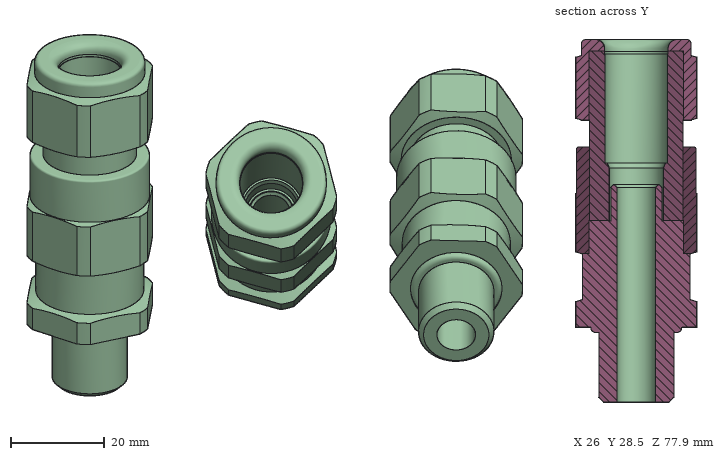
import cadquery as cq
import math

TOTAL_HEIGHT = 77.9
CAP_HEX_TOP = 74.5
CAP_BOTTOM = 60.5
COUPLING_TOP = 54.85
COUPLING_HEX_TOP = 45.25
COUPLING_BOTTOM = 31.9
ENTRY_HEX_TOP = 22.05
ENTRY_HEX_BOTTOM = 16.1
STEP_HEIGHT = 1.2

HEX_ACROSS_FLATS = 26.0
HEX_ACROSS_CORNERS = HEX_ACROSS_FLATS / math.cos(math.pi / 6)
HEX_CORNER_RADIUS = 14.25
HEX_CHAMFER_WIDTH = 2.5
HEX_CHAMFER_HEIGHT = 0.8

COLLAR_RADIUS = 11.85
COLLAR_FILLET = 1.0
CAP_BORE_RADIUS = 6.8
FLARE_RADIUS = 2.0
CAP_LAND = 0.55

GLAND_RADIUS = 10.05
GLAND_BORE_RADIUS = 6.7
GLAND_TOP = TOTAL_HEIGHT - FLARE_RADIUS - CAP_LAND
GLAND_BOTTOM = 38.95
MOUTH_DEPTH = 0.55
SHOULDER_HEIGHT = 51.4
SEAT_TOP_RADIUS = 6.2
NOZZLE_HOLE_RADIUS = 5.8
SEAT_DEPTH = 1.2

SLEEVE_RADIUS = 12.85
SLEEVE_FILLET = 0.5

BARREL_RADIUS = 11.6
STEP_RADIUS = 9.8
STEP_FILLET = 1.1
SPIGOT_RADIUS = 8.1
SPIGOT_CHAMFER = 1.1
NOZZLE_RADIUS = 5.5
NOZZLE_TOP = 46.75
NOZZLE_CHAMFER = 0.6
ENTRY_BORE_RADIUS = 4.1


def cylinder(radius, bottom, top):
    """Solid cylinder on the Z axis between two heights."""
    return cq.Workplane("XY", origin=(0, 0, bottom)).circle(radius).extrude(top - bottom)


def cone(bottom_radius, top_radius, bottom, top):
    """Solid truncated cone on the Z axis between two heights."""
    base = cq.Vector(0, 0, bottom)
    return cq.Workplane(cq.Solid.makeCone(bottom_radius, top_radius, top - bottom, base))


def hexagon(bottom, top, cone_bottom):
    """Hexagonal prism with turned corners, coned at the top and, if asked, at the bottom."""
    prism = (
        cq.Workplane("XY", origin=(0, 0, bottom))
        .polygon(6, HEX_ACROSS_CORNERS)
        .extrude(top - bottom)
        .rotate((0, 0, 0), (0, 0, 1), 30)
    )
    end_radius = HEX_CORNER_RADIUS - HEX_CHAMFER_WIDTH
    cone_base = top - HEX_CHAMFER_HEIGHT
    straight_bottom = bottom
    envelope = cone(HEX_CORNER_RADIUS, end_radius, cone_base, top)
    if cone_bottom:
        straight_bottom = bottom + HEX_CHAMFER_HEIGHT
        envelope = envelope.union(cone(end_radius, HEX_CORNER_RADIUS, bottom, straight_bottom))
    envelope = envelope.union(cylinder(HEX_CORNER_RADIUS, straight_bottom, cone_base))
    return prism.intersect(envelope)


def flare_cutter():
    """Trumpet-shaped cutter for the mouth of the cap nut, tangent to bore and top face."""
    flare_bottom = TOTAL_HEIGHT - FLARE_RADIUS
    arc_offset = FLARE_RADIUS * (1 - math.sqrt(0.5))
    profile = (
        cq.Workplane("XZ")
        .moveTo(0, flare_bottom)
        .lineTo(CAP_BORE_RADIUS, flare_bottom)
        .threePointArc(
            (CAP_BORE_RADIUS + arc_offset, TOTAL_HEIGHT - arc_offset),
            (CAP_BORE_RADIUS + FLARE_RADIUS, TOTAL_HEIGHT),
        )
        .lineTo(0, TOTAL_HEIGHT)
        .close()
    )
    return profile.revolve(360, (0, 0, 0), (0, 1, 0))


def make_cap_nut():
    """Round collar on a hexagon, with a flared mouth and a socket that takes the gland."""
    collar = cylinder(COLLAR_RADIUS, CAP_BOTTOM, TOTAL_HEIGHT).faces(">Z").edges().fillet(COLLAR_FILLET)
    nut = collar.union(hexagon(CAP_BOTTOM, CAP_HEX_TOP, cone_bottom=True))
    socket = cylinder(GLAND_RADIUS, CAP_BOTTOM, GLAND_TOP)
    bore = cylinder(CAP_BORE_RADIUS, GLAND_TOP, TOTAL_HEIGHT)
    return nut.cut(socket).cut(bore).cut(flare_cutter())


def make_gland():
    """Tube with a wider mouth, a deep bore, a shoulder and a conical seat above the nozzle hole."""
    tube = cylinder(GLAND_RADIUS, GLAND_BOTTOM, GLAND_TOP)
    mouth = cylinder(CAP_BORE_RADIUS, GLAND_TOP - MOUTH_DEPTH, GLAND_TOP)
    bore = cylinder(GLAND_BORE_RADIUS, SHOULDER_HEIGHT, GLAND_TOP)
    seat = cone(NOZZLE_HOLE_RADIUS, SEAT_TOP_RADIUS, SHOULDER_HEIGHT - SEAT_DEPTH, SHOULDER_HEIGHT)
    nozzle_hole = cylinder(NOZZLE_HOLE_RADIUS, GLAND_BOTTOM, SHOULDER_HEIGHT)
    return tube.cut(mouth).cut(bore).cut(seat).cut(nozzle_hole)


def make_coupling_nut():
    """Hexagon with a round sleeve above, bored through for the gland and the entry body."""
    sleeve_bottom = COUPLING_HEX_TOP - HEX_CHAMFER_HEIGHT
    sleeve = cylinder(SLEEVE_RADIUS, sleeve_bottom, COUPLING_TOP).faces(">Z").edges().fillet(SLEEVE_FILLET)
    nut = sleeve.union(hexagon(COUPLING_BOTTOM, COUPLING_HEX_TOP, cone_bottom=True))
    return nut.cut(cylinder(GLAND_RADIUS, COUPLING_BOTTOM, COUPLING_TOP))


def make_entry_body():
    """Spigot, step, hexagon and barrel, with a plug and a nozzle inside the coupling nut."""
    step_bottom = ENTRY_HEX_BOTTOM - STEP_HEIGHT
    spigot = cylinder(SPIGOT_RADIUS, 0, ENTRY_HEX_BOTTOM).faces("<Z").edges().chamfer(SPIGOT_CHAMFER)
    step = cylinder(STEP_RADIUS, step_bottom, ENTRY_HEX_BOTTOM).faces("<Z").edges().fillet(STEP_FILLET)
    flats = hexagon(ENTRY_HEX_BOTTOM, ENTRY_HEX_TOP, cone_bottom=False)
    barrel = cylinder(BARREL_RADIUS, ENTRY_HEX_BOTTOM, COUPLING_BOTTOM)
    plug = cylinder(GLAND_RADIUS, COUPLING_BOTTOM, GLAND_BOTTOM)
    nozzle = cylinder(NOZZLE_RADIUS, GLAND_BOTTOM, NOZZLE_TOP).faces(">Z").edges().chamfer(NOZZLE_CHAMFER)
    bore = cylinder(ENTRY_BORE_RADIUS, 0, NOZZLE_TOP)
    countersink = cone(
        ENTRY_BORE_RADIUS, ENTRY_BORE_RADIUS + NOZZLE_CHAMFER, NOZZLE_TOP - NOZZLE_CHAMFER, NOZZLE_TOP
    )
    body = spigot.union(step).union(flats).union(barrel).union(plug).union(nozzle)
    return body.cut(bore).cut(countersink)


cap_nut = make_cap_nut()
gland = make_gland()
coupling_nut = make_coupling_nut()
entry_body = make_entry_body()

result = cq.Compound.makeCompound([cap_nut.val(), gland.val(), coupling_nut.val(), entry_body.val()])